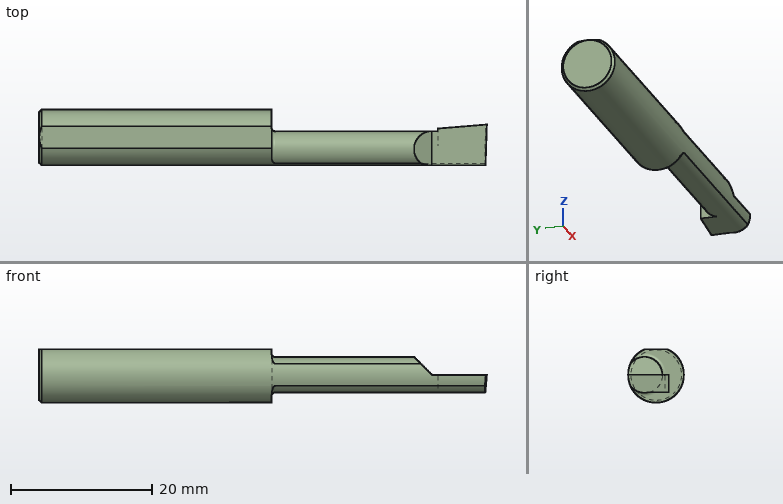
import cadquery as cq
import math

length = 63.5
shank_radius = 3.97
shank_length = 32.95
shank_chamfer = 0.4
flat_height = 3.65

neck_radius = 2.55
neck_axis_y = -1.65
neck_fillet = 0.5

cutting_face_start = 55.7
ramp_angle = 45.0

head_start = 56.5
head_root_y = 1.3
head_depth = 2.5
tip_y = 1.85
end_setback = 0.2
relief_angle = 5.0


def make_stock():
    """Full-length bar of shank diameter with the end chamfer and clamping flat."""
    stock = cq.Workplane("YZ").circle(shank_radius).extrude(length)
    stock = stock.faces("<X").chamfer(shank_chamfer)
    above_flat = cq.Workplane("XY").workplane(offset=flat_height).rect(
        2 * length, 4 * shank_radius
    ).extrude(shank_radius)
    return stock.cut(above_flat)


def make_neck_envelope():
    """Round envelope on the neck axis, clear of the shank and flared into the neck."""
    clear_radius = 2 * shank_radius
    flare_radius = neck_radius + neck_fillet
    arc_offset = neck_fillet * (1 - math.sqrt(0.5))
    return (
        cq.Workplane("XZ")
        .moveTo(-length, 0)
        .lineTo(-length, clear_radius)
        .lineTo(shank_length, clear_radius)
        .lineTo(shank_length, flare_radius)
        .threePointArc(
            (shank_length + arc_offset, neck_radius + arc_offset),
            (shank_length + neck_fillet, neck_radius),
        )
        .lineTo(2 * length, neck_radius)
        .lineTo(2 * length, 0)
        .close()
        .revolve(360, (0, 0, 0), (1, 0, 0))
        .translate((0, neck_axis_y, 0))
    )


def make_head():
    """Side of the head that widens towards the cutting tip."""
    return (
        cq.Workplane("XY")
        .polyline([
            (head_start, neck_axis_y),
            (length, neck_axis_y),
            (length, tip_y),
            (head_start, head_root_y),
        ])
        .close()
        .extrude(-head_depth)
    )


def cut_cutting_face(body):
    """Remove everything above the cutting face and the ramp leading to it."""
    ramp_height = shank_radius
    ramp_run = ramp_height / math.tan(math.radians(ramp_angle))
    waste = (
        cq.Workplane("XZ")
        .polyline([
            (cutting_face_start, 0),
            (length, 0),
            (length, ramp_height),
            (cutting_face_start - ramp_run, ramp_height),
        ])
        .close()
        .extrude(shank_radius, both=True)
    )
    return body.cut(waste)


def cut_end_relief(body):
    """Trim the end face along the slanted cutting edge, leaning back below it."""
    edge_angle = math.degrees(math.atan2(end_setback, tip_y + shank_radius))
    block_size = 4 * shank_radius
    waste = (
        cq.Workplane("XY")
        .box(block_size, block_size, block_size, centered=(False, True, True))
        .rotate((0, 0, 0), (0, 1, 0), relief_angle)
        .rotate((0, 0, 0), (0, 0, 1), -edge_angle)
        .translate((length, tip_y, 0))
    )
    return body.cut(waste)


body = make_stock().intersect(make_neck_envelope()).union(make_head())
result = cut_end_relief(cut_cutting_face(body))